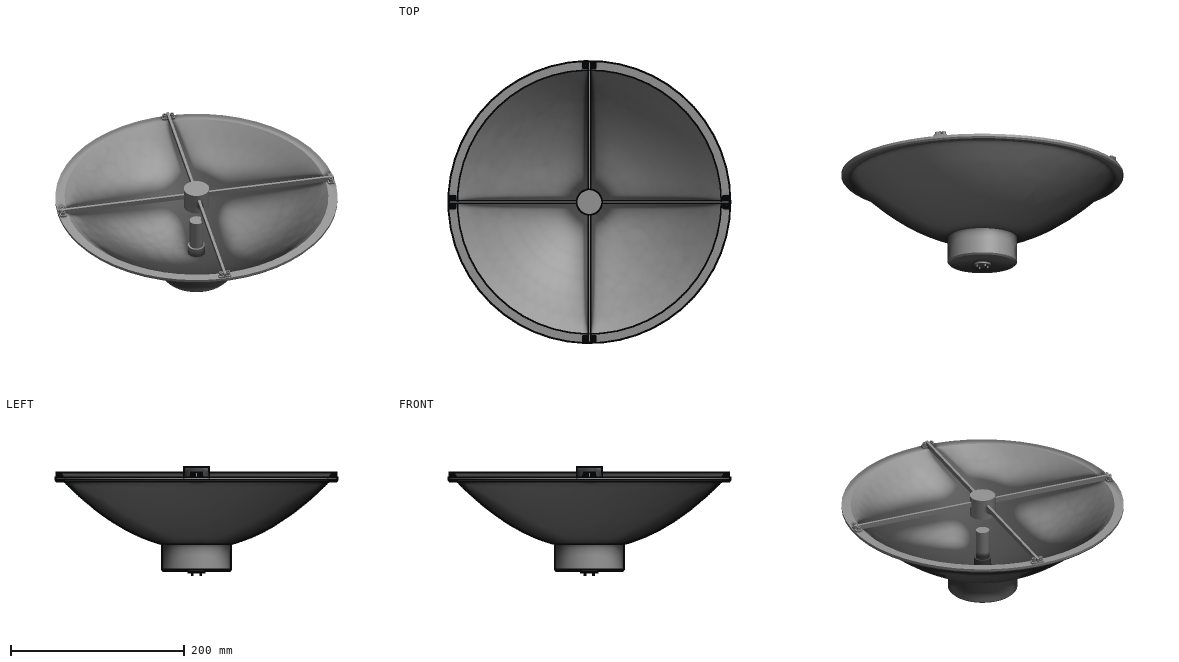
import cadquery as cq

collar_bottom = 2.5
housing_bottom = 4.5
outer_vertex = 30.5
collar_top = 44.7
tube_top = 79.5
hub_bottom = 100.2
rim_bottom = 108.0
rim_top = 113.0
foot_top = 115.0
strut_top = 118.8
hub_top = 125.0

rim_radius = 163.0
focal_length = 75.0
dish_thickness = 3.5
rim_chamfer_height = 2.0
rim_chamfer_width = 1.5
curve_segments = 8
radius_tolerance = 3.26e-09
feed_hole_radius = 10.0

housing_radius = 40.0
housing_chamfer = 2.0

collar_radius = 9.8
tube_radius = 7.8
pin_radius = 0.8
pin_offset = 5.0

hub_radius = 14.7
strut_width = 3.0
strut_end = 162.0
foot_length = 7.5
foot_width = 15.0
foot_corner_radius = 1.5
bolt_offset = 4.2
bolt_head_radius = 2.3
socket_radius = 1.3
socket_depth = 1.5
washer_radius = 2.5
washer_thickness = 1.5
strut_count = 4


def paraboloid_height(radius):
    """Height of the outer dish surface above its vertex."""
    return radius**2 / (4 * focal_length)


def shell_point(radius, depth):
    """Point at the given depth inside the shell, measured along the surface normal."""
    slope = radius / (2 * focal_length)
    normal_length = (1 + slope**2) ** 0.5
    r = radius - depth * slope / normal_length
    z = outer_vertex + paraboloid_height(radius) + depth / normal_length
    return (r, z)


def radius_at_level(level, depth):
    """Outer-surface radius whose point at this depth lies at the given level, by bisection."""
    low = 0.0
    high = rim_radius
    while high - low > radius_tolerance:
        middle = (low + high) / 2
        if shell_point(middle, depth)[1] < level:
            low = middle
        else:
            high = middle
    return low


def shell_curve(level, depth):
    """Points of one shell surface from its vertex up to the given level."""
    end_radius = radius_at_level(level, depth)
    return [shell_point(end_radius * i / curve_segments, depth) for i in range(curve_segments + 1)]


def disc(radius, bottom, top):
    """Upright cylinder on the Z axis."""
    return cq.Workplane("XY").workplane(offset=bottom).circle(radius).extrude(top - bottom)


def make_dish():
    """Revolved shell and rim with the feed hole through the centre."""
    outer = shell_curve(rim_bottom, 0)
    inner = shell_curve(rim_top, dish_thickness)
    blank = (
        cq.Workplane("XZ")
        .moveTo(*outer[0])
        .spline(outer[1:], includeCurrent=True)
        .lineTo(rim_radius - rim_chamfer_width, rim_bottom)
        .lineTo(rim_radius, rim_bottom + rim_chamfer_height)
        .lineTo(rim_radius, rim_top)
        .lineTo(*inner[-1])
        .spline(inner[-2::-1], includeCurrent=True)
        .close()
        .revolve(360, (0, 0, 0), (0, 1, 0))
    )
    return blank.cut(disc(feed_hole_radius, housing_bottom, rim_top))


def make_paraboloid():
    """Solid bounded by the outer dish surface and the level of the rim's underside."""
    outer = shell_curve(rim_bottom, 0)
    return (
        cq.Workplane("XZ")
        .moveTo(*outer[0])
        .spline(outer[1:], includeCurrent=True)
        .lineTo(0, rim_bottom)
        .close()
        .revolve(360, (0, 0, 0), (0, 1, 0))
    )


def make_housing():
    """Chamfered cylinder, bored for the collar and hollowed on top to seat the dish."""
    body = disc(housing_radius, housing_bottom, rim_bottom).faces("<Z").chamfer(housing_chamfer)
    body = body.cut(make_paraboloid())
    return body.cut(disc(collar_radius, housing_bottom, rim_bottom))


def make_collar():
    """Cylinder through the housing with four contact pins under it."""
    pins = (
        cq.Workplane("XY")
        .rect(2 * pin_offset, 2 * pin_offset, forConstruction=True)
        .vertices()
        .circle(pin_radius)
        .extrude(collar_bottom)
    )
    return disc(collar_radius, collar_bottom, collar_top).union(pins)


def make_tube():
    """Feed tube standing on the collar."""
    return disc(tube_radius, collar_top, tube_top)


def make_strut():
    """Strut along +X with its foot plate and the two bolts on it."""
    strut = (
        cq.Workplane("XY")
        .workplane(offset=rim_top)
        .center(strut_end / 2, 0)
        .rect(strut_end, strut_width)
        .extrude(strut_top - rim_top)
    )
    bolt_x = strut_end - foot_length / 2
    foot = (
        cq.Workplane("XY")
        .workplane(offset=rim_top)
        .center(bolt_x, 0)
        .rect(foot_length, foot_width)
        .extrude(foot_top - rim_top)
        .edges("|Z")
        .fillet(foot_corner_radius)
    )
    strut = strut.union(foot)
    for side in (-1, 1):
        place = (bolt_x, side * bolt_offset, 0)
        washer = disc(washer_radius, foot_top, foot_top + washer_thickness)
        head = disc(bolt_head_radius, foot_top, strut_top)
        socket = disc(socket_radius, strut_top - socket_depth, strut_top)
        strut = strut.union(washer.union(head).cut(socket).translate(place))
    return strut


def make_spider():
    """Hub with its ring of struts."""
    spider = disc(hub_radius, hub_bottom, hub_top)
    for i in range(strut_count):
        spider = spider.union(make_strut().rotate((0, 0, 0), (0, 0, 1), 360 / strut_count * i))
    return spider


dish = make_dish()
housing = make_housing()
collar = make_collar()
tube = make_tube()
spider = make_spider()

result = cq.Compound.makeCompound([dish.val(), housing.val(), collar.val(), tube.val(), spider.val()])